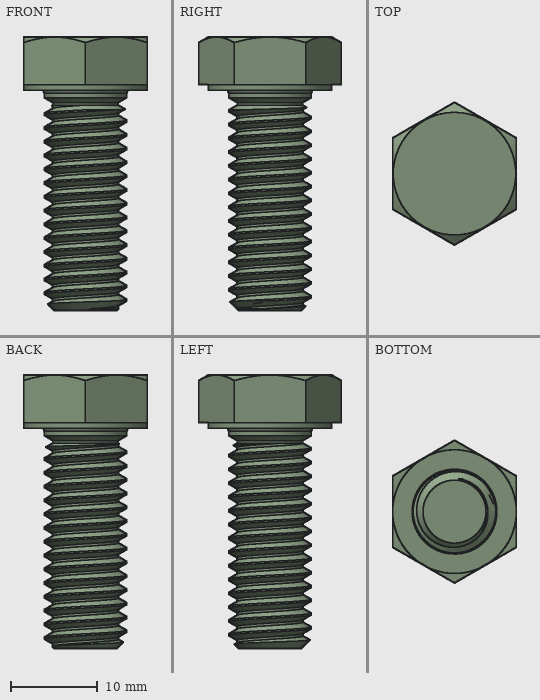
import cadquery as cq
import math

total_length = 31.57
shank_length = 25.38
washer_face_height = 0.65

across_flats = 14.27
across_corners = across_flats / math.cos(math.radians(30))
washer_face_radius = across_flats / 2
head_top_radius = 7.07
head_chamfer_angle = 30
chamfer_margin = 0.3

major_radius = 4.77
flare_width = 0.13
flare_height = 0.35
tip_radius = 3.63

thread_turns = 16
thread_rise = 25.4
pitch = thread_rise / thread_turns
thread_depth = 0.95
root_radius = major_radius - thread_depth
flank_slope = math.tan(math.radians(30))
crest_flat = 0.2
opening_half_width = (pitch - crest_flat) / 2
root_half_width = opening_half_width - thread_depth * flank_slope
collar_length = 0.85
runout_z = shank_length - collar_length - opening_half_width
runout_extra_depth = 0.015
groove_overcut = 0.1


def make_head():
    """Hexagon with a conical top chamfer, standing on a round washer face."""
    hex_base = shank_length + washer_face_height
    hexagon = (
        cq.Workplane("XY", origin=(0, 0, hex_base))
        .polygon(6, across_corners)
        .extrude(total_length - hex_base)
        .rotate((0, 0, 0), (0, 0, 1), 30)
    )
    outer_radius = across_corners / 2 + chamfer_margin
    chamfer_drop = (outer_radius - head_top_radius) * math.tan(math.radians(head_chamfer_angle))
    envelope = (
        cq.Workplane("XZ")
        .moveTo(0, hex_base)
        .lineTo(outer_radius, hex_base)
        .lineTo(outer_radius, total_length - chamfer_drop)
        .lineTo(head_top_radius, total_length)
        .lineTo(0, total_length)
        .close()
        .revolve(360, (0, 0, 0), (0, 1, 0))
    )
    washer_face = (
        cq.Workplane("XY", origin=(0, 0, shank_length))
        .circle(washer_face_radius)
        .extrude(washer_face_height)
    )
    return hexagon.intersect(envelope).union(washer_face)


def make_shank():
    """Round shank with a 45-degree tip chamfer and a small flare under the head."""
    tip_chamfer = major_radius - tip_radius
    return (
        cq.Workplane("XZ")
        .lineTo(tip_radius, 0)
        .lineTo(major_radius, tip_chamfer)
        .lineTo(major_radius, shank_length - flare_height)
        .lineTo(major_radius + flare_width, shank_length)
        .lineTo(0, shank_length)
        .close()
        .revolve(360, (0, 0, 0), (0, 1, 0))
        .rotate((0, 0, 0), (0, 0, 1), 180)
    )


def groove_profile(center_z, bottom_radius):
    """Trapezoidal groove section on the -Y side of the shank."""
    outer_radius = major_radius + groove_overcut
    outer_half_width = root_half_width + (outer_radius - bottom_radius) * flank_slope
    return cq.Workplane("YZ").polyline([
        (-bottom_radius, center_z - root_half_width),
        (-bottom_radius, center_z + root_half_width),
        (-outer_radius, center_z + outer_half_width),
        (-outer_radius, center_z - outer_half_width),
    ]).close()


def make_runout_groove():
    """Plain ring groove in which the thread ends below the collar."""
    profile = groove_profile(runout_z, root_radius - runout_extra_depth)
    return profile.revolve(360, (0, 0, 0), (0, 1, 0))


def make_thread_groove():
    """Right-handed helical groove from below the tip up to the runout groove."""
    start_z = runout_z - thread_rise
    helix = cq.Wire.makeHelix(pitch, thread_rise, root_radius)
    helix = helix.rotate(cq.Vector(), cq.Vector(0, 0, 1), -90)
    path = cq.Workplane(helix.translate(cq.Vector(0, 0, start_z)))
    return groove_profile(start_z, root_radius).sweep(path, isFrenet=True)


shank = make_shank().cut(make_thread_groove()).cut(make_runout_groove())
result = make_head().union(shank)